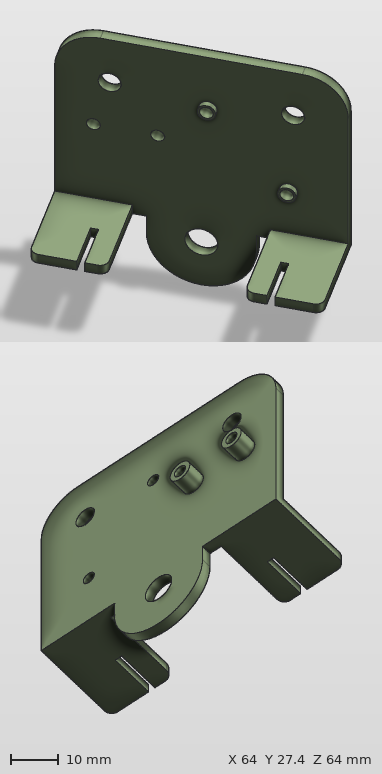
import cadquery as cq

plate_width = 64.0
plate_thickness = 2.5
overall_height = 64.0
plate_corner_radius = 10.0

tab_width = 24.0
tab_radius = tab_width / 2
tab_hole_diameter = 7.2

plate_top = overall_height - tab_radius
plate_bottom = 4.5
plate_height = plate_top - plate_bottom

shelf_width = 16.95
shelf_length = 20.4
shelf_thickness = 2.4
shelf_corner_radius = 2.0
slot_width = 1.7
slot_depth = 11.0
slot_from_side = 11.25

upper_hole_diameter = 5.0
upper_hole_spacing = 40.0
upper_hole_height = 40.05

boss_hole_diameter = 3.0
rear_boss_diameter = 5.4
rear_boss_length = 4.5
rear_boss_centres = [(-23.55, 27.6), (-9.55, 27.6)]
front_boss_diameter = 4.0
front_boss_length = 1.4
front_boss_centres = [(1.5, 37.7), (19.0, 18.7)]


def cylinder_y(centre, diameter, y_start, length):
    """Cylinder along +Y starting at y_start, centred on an (X, Z) point."""
    x, z = centre
    base = cq.Vector(x, y_start, z)
    solid = cq.Solid.makeCylinder(diameter / 2, length, base, cq.Vector(0, 1, 0))
    return cq.Workplane(obj=solid)


def make_plate():
    """Plate with rounded upper corners and the round-ended tab."""
    plate = (
        cq.Workplane("XY")
        .box(plate_width, plate_thickness, plate_height, centered=(True, False, False))
        .translate((0, 0, plate_bottom))
        .edges("|Y and >Z")
        .fillet(plate_corner_radius)
    )
    tab_neck = cq.Workplane("XY").box(
        tab_width, plate_thickness, plate_bottom, centered=(True, False, False)
    )
    tab_end = cylinder_y((0, 0), tab_width, 0, plate_thickness)
    return plate.union(tab_neck).union(tab_end)


def make_left_shelf():
    """Shelf at the -X side with rounded front corners and an open slot."""
    left_side = -plate_width / 2
    shelf = (
        cq.Workplane("XY")
        .box(shelf_width, shelf_length + plate_thickness, shelf_thickness, centered=False)
        .translate((left_side, -shelf_length, plate_bottom))
        .edges("|Z and <Y")
        .fillet(shelf_corner_radius)
    )
    slot = (
        cq.Workplane("XY")
        .box(slot_width, slot_depth, shelf_thickness, centered=(True, False, False))
        .translate((left_side + slot_from_side, -shelf_length, plate_bottom))
    )
    return shelf.cut(slot)


left_shelf = make_left_shelf()
result = make_plate().union(left_shelf).union(left_shelf.mirror("YZ"))

for centre in rear_boss_centres:
    result = result.union(
        cylinder_y(centre, rear_boss_diameter, 0, plate_thickness + rear_boss_length)
    )
for centre in front_boss_centres:
    result = result.union(
        cylinder_y(centre, front_boss_diameter, -front_boss_length, front_boss_length + plate_thickness)
    )

holes = [((0, 0), tab_hole_diameter)]
for side in (-1, 1):
    holes.append(((side * upper_hole_spacing / 2, upper_hole_height), upper_hole_diameter))
for centre in rear_boss_centres + front_boss_centres:
    holes.append((centre, boss_hole_diameter))

hole_start = -front_boss_length
hole_length = front_boss_length + plate_thickness + rear_boss_length
for centre, diameter in holes:
    result = result.cut(cylinder_y(centre, diameter, hole_start, hole_length))